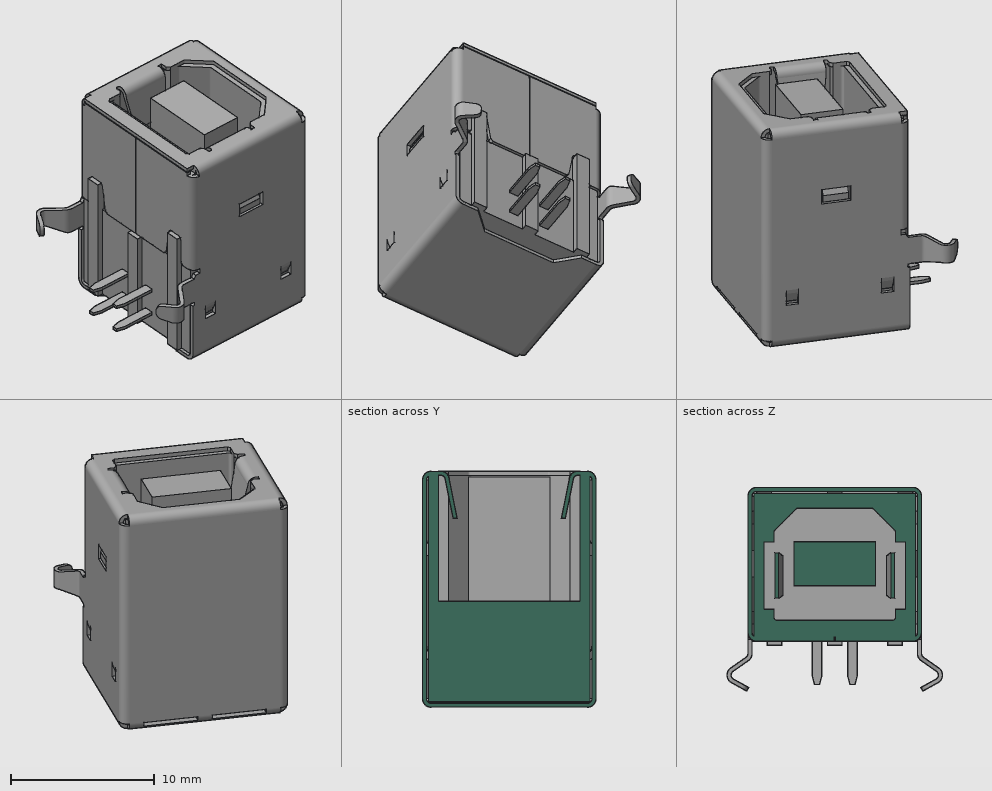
import cadquery as cq
import math

width = 12.09
depth = 10.73
height = 16.45
sheet = 0.3
bend = 0.61
half_width = width / 2
flat_half = half_width - bend

front_plate_bottom = 7.78
side_seam = 7.4
seam_gap = 0.07
front_opening_depth = 0.65

housing_half = 5.63
housing_front = 0.15
housing_back = 10.3
housing_bottom = 0.4
housing_step = front_plate_bottom - seam_gap
housing_top = height - sheet
cavity_floor = 7.4

opening_half = 4.23
opening_front = 1.1
opening_back = 9.64
opening_corner = 0.16
key_round = 0.2
opening_bevel = 1.45
cavity_bevel = opening_bevel + 0.13
ledge = 0.38

tab_front = 2.78
tab_back = 6.38
tab_slot = 0.31
slot_half = 4.92
slot_corner = 0.21
slot_round = 0.12
tab_root = 4.77
tab_tip = 3.62
tab_end = 13.16
tab_tip_inset = 0.41

tongue_half = 2.85
tongue_front = 3.87
tongue_back = 6.95
tongue_top = 16.04

rib_width = 1.02
rib_offset = 4.2
rib_front = -0.28
rib_top = 10.05

pin_offset = 1.23
pin_heights = (1.65, 3.64)
pin_width = 0.69
pin_tip_width = 0.36
pin_thickness = 0.23
pin_taper_start = -2.39
pin_end = -3.01

leg_middle = 6.14
leg_half = 1.0
leg_neck_half = 0.67
leg_toe_half = 0.51
leg_toe_round = 0.48
leg_bend = 0.31
leg_flare = math.radians(35)
leg_hook = math.radians(29)
knee_y = -1.09
elbow_x = 7.76
toe_x = 6.05
leg_knee = (half_width - sheet / 2, knee_y)
leg_elbow = (elbow_x, knee_y - (elbow_x - leg_knee[0]) * math.tan(leg_flare))
leg_toe = (toe_x, leg_elbow[1] - (elbow_x - toe_x) * math.tan(leg_hook))

relief = 0.28
relief_depth = 0.16
relief_round = 0.1
relief_bevel_start = 0.13

latch_y = (4.33, 6.48)
latch_z = (10.51, 11.6)
tooth_clearance = 0.15
tooth_lift = 0.07
tooth_face = 5.92
tooth_ridge = 11.07
barb_width = 0.9
barb_y = (1.65, 8.62)
barb_bottom = 3.19
barb_top = 4.3


def block(x0, x1, y0, y1, z0, z1):
    """Axis-aligned box given by its limits."""
    return cq.Workplane("XY").box(x1 - x0, y1 - y0, z1 - z0, centered=False).translate((x0, y0, z0))


def both_sides(solid):
    """The solid together with its mirror image across the YZ plane."""
    return solid.union(solid.mirror("YZ"))


def prism_along_x(points, x0, x1):
    """Extrude a (y, z) outline from x0 to x1."""
    return cq.Workplane("YZ").workplane(offset=x0).polyline(points).close().extrude(x1 - x0)


def prism_along_y(points, y0, y1):
    """Extrude an (x, z) outline from y0 to y1."""
    return cq.Workplane("XZ").workplane(offset=-y1).polyline(points).close().extrude(y1 - y0)


def rounded_block(inset, radius):
    """Shell envelope, moved inwards by inset, with every edge but the front X edges rounded."""
    body = block(-half_width + inset, half_width - inset, inset, depth - inset, inset, height - inset)
    return body.edges("|Y or |Z or (>Y and |X)").fillet(radius)


def side_sleeve():
    """Side and bottom sheets that run straight to the open lower front."""
    outer = block(-half_width, half_width, 0, front_opening_depth, 0, height).edges("|Y").fillet(bend)
    inner = block(-half_width + sheet, half_width - sheet, 0, front_opening_depth, sheet, height - sheet)
    sleeve = outer.cut(inner.edges("|Y").fillet(bend - sheet))
    return sleeve.intersect(block(-half_width, half_width, 0, front_opening_depth, 0, side_seam))


def rib_notch():
    """Notch in the front plate around one side rib, with a slanted inner edge."""
    outer_x, top_x, foot_x = 4.77, 3.55, 3.2
    top = rib_top + 0.08
    foot = front_plate_bottom
    lead_in = 0.2
    top_round = 0.26
    outline = [
        (outer_x + lead_in, foot), (outer_x, foot + lead_in), (outer_x, top),
        (top_x, top), (foot_x, foot + lead_in), (foot_x - lead_in, foot),
    ]
    notch = prism_along_y(outline, 0, sheet)
    return notch.edges("|Y and >Z").fillet(top_round)


def opening_outline():
    """Right half of the keyed opening with its two tab slots, front to back."""
    slot_front = tab_front - tab_slot
    slot_back = tab_back + tab_slot
    return [
        (opening_half - opening_corner, opening_front),
        (opening_half, opening_front + opening_corner),
        (opening_half, slot_front - slot_corner),
        (opening_half + slot_corner, slot_front),
        (slot_half, slot_front),
        (slot_half, tab_front),
        (tab_root, tab_front),
        (tab_root, tab_back),
        (slot_half, tab_back),
        (slot_half, slot_back),
        (opening_half + slot_corner, slot_back),
        (opening_half, slot_back + slot_corner),
        (opening_half, opening_back - opening_bevel),
        (opening_half - opening_bevel, opening_back),
    ]


def corner_reliefs():
    """Cubes that clear the corners where three bends would meet."""
    back = depth - bend
    top = height - bend
    reliefs = block(flat_half, half_width, back, depth, top, height)
    reliefs = reliefs.union(block(flat_half, half_width, back, depth, 0, bend))
    reliefs = reliefs.union(block(flat_half, half_width, 0, bend, top, height))
    return both_sides(reliefs)


def bottom_edge_notch():
    """Trapezoid removed from the front edge of the bottom plate."""
    wide, narrow = 4.25, 2.81
    setback = wide - narrow
    outline = [(-wide, 0), (wide, 0), (narrow, setback), (-narrow, setback)]
    return cq.Workplane("XY").polyline(outline).close().extrude(sheet)


def side_windows():
    """Latch and barb windows through the +X side sheet."""
    inner = half_width - sheet
    windows = block(inner, half_width, *latch_y, *latch_z)
    for y in barb_y:
        windows = windows.union(
            block(inner, half_width, y - barb_width / 2, y + barb_width / 2, barb_bottom, barb_top))
    return windows


def leg_reliefs():
    """Rounded notch below and bevelled notch above the +X leg."""
    inner = half_width - sheet
    low = leg_middle - leg_half
    high = leg_middle + leg_half
    below = block(inner, half_width, 0, relief_depth, low - relief, low)
    below = below.edges("|X and >Y").fillet(relief_round)
    above_outline = [(0, high), (relief_bevel_start, high), (relief, side_seam), (0, side_seam)]
    above = prism_along_x(above_outline, inner, half_width)
    return below.union(above)


def make_shell():
    shell = rounded_block(0, bend).cut(rounded_block(sheet, bend - sheet))
    shell = shell.cut(block(-half_width, half_width, 0, front_opening_depth, 0, front_plate_bottom))
    shell = shell.union(side_sleeve())
    shell = shell.cut(corner_reliefs())

    shell = shell.cut(block(-seam_gap / 2, seam_gap / 2, 0, sheet, front_plate_bottom, housing_top))
    shell = shell.cut(block(-flat_half, flat_half, 0, sheet, housing_top - seam_gap, housing_top))
    shell = shell.cut(both_sides(rib_notch()))

    right = opening_outline()
    left = [(-x, y) for x, y in reversed(right)]
    opening = cq.Workplane("XY").workplane(offset=housing_top).polyline(right + left).close().extrude(sheet)
    bevel_front = opening_back - opening_bevel - key_round
    key_corners = cq.selectors.BoxSelector((-width, bevel_front, 0), (width, depth, 2 * height))
    opening = opening.edges("|Z").edges(key_corners).fillet(key_round)
    for side in (-1, 1):
        for y in (tab_front - tab_slot, tab_front):
            slot_end = cq.selectors.NearestToPointSelector((side * slot_half, y, height))
            opening = opening.edges("|Z").edges(slot_end).fillet(slot_round)
    shell = shell.cut(opening)

    slot_reach = 4.41
    slot_bridge = rib_width / 2
    shell = shell.cut(bottom_edge_notch())
    shell = shell.cut(both_sides(block(slot_bridge, slot_reach, depth - bend, depth, sheet, bend)))
    return shell.cut(both_sides(side_windows().union(leg_reliefs())))


def key_outline(half, front, back, bevel):
    """Rectangle with its two back corners bevelled."""
    return [(-half, front), (half, front), (half, back - bevel),
            (half - bevel, back), (-half + bevel, back), (-half, back - bevel)]


def make_housing():
    housing = block(-housing_half, housing_half, housing_front, housing_back, housing_bottom, housing_top)
    housing = housing.cut(block(-housing_half, housing_half, 0, bend, height - bend, housing_top))
    housing = housing.cut(block(-housing_half, housing_half, 0, sheet, housing_step, housing_top))

    outline = key_outline(opening_half, opening_front + ledge, opening_back - ledge, cavity_bevel)
    cavity = cq.Workplane("XY").workplane(offset=cavity_floor).polyline(outline).close()
    cavity = cavity.extrude(housing_top - cavity_floor).edges("|Z").fillet(key_round)
    cavity = cavity.union(block(-slot_half, slot_half, tab_front - tab_slot - slot_corner,
                                tab_back + tab_slot + slot_corner, cavity_floor, housing_top))
    tongue = block(-tongue_half, tongue_half, tongue_front, tongue_back, cavity_floor, tongue_top)
    housing = housing.cut(cavity).union(tongue)

    for x, top in ((-rib_offset, rib_top), (0, housing_step), (rib_offset, rib_top)):
        rib = block(x - rib_width / 2, x + rib_width / 2, rib_front, sheet, housing_bottom, top)
        housing = housing.union(rib)
    return housing


def latch_tooth():
    """Ramped housing tooth that fills the +X latch window."""
    base = latch_z[0] + tooth_lift
    outline = [(housing_half, base), (tooth_face, base),
               (tooth_face, tooth_ridge), (housing_half, latch_z[1])]
    return prism_along_y(outline, latch_y[0] + tooth_clearance, latch_y[1] - tooth_clearance)


def sheet_barb(y):
    """Tongue of the +X side sheet bent inwards into the housing."""
    shoulder_z = barb_top - 0.28
    shoulder_x = half_width - 0.05
    tip_z = barb_bottom + 0.15
    tip_x = half_width - 0.33
    outline = [(half_width, barb_top), (shoulder_x, shoulder_z), (tip_x, tip_z),
               (tip_x - sheet, tip_z), (shoulder_x - sheet, shoulder_z), (half_width - sheet, barb_top)]
    return prism_along_y(outline, y - barb_width / 2, y + barb_width / 2)


def spring_tab():
    """Tab of the top plate bent down and inwards at the +X side of the opening."""
    knee = tab_root - bend
    knee_z = height - bend
    tab = (
        cq.Workplane("XZ").workplane(offset=-tab_back)
        .moveTo(tab_root, height)
        .radiusArc((knee, knee_z), -bend)
        .lineTo(tab_tip, tab_end)
        .lineTo(tab_tip + sheet, tab_end)
        .lineTo(knee + sheet, knee_z)
        .radiusArc((tab_root, height - sheet), bend - sheet)
        .close()
        .extrude(tab_back - tab_front)
    )
    side_outline = [
        (tab_front, height), (tab_back, height), (tab_back, knee_z),
        (tab_back - tab_tip_inset, tab_end), (tab_front + tab_tip_inset, tab_end), (tab_front, knee_z),
    ]
    return tab.intersect(prism_along_x(side_outline, tab_tip, tab_root))


def make_pin(x, z):
    half, tip_half = pin_width / 2, pin_tip_width / 2
    outline = [(x - half, housing_front), (x - half, pin_taper_start), (x - tip_half, pin_end),
               (x + tip_half, pin_end), (x + half, pin_taper_start), (x + half, housing_front)]
    pin = cq.Workplane("XY").workplane(offset=z - pin_thickness / 2).polyline(outline).close()
    return pin.extrude(pin_thickness)


def leg_outline():
    """Bent +X leg seen along Z, as corner points and (corner, radius) bends."""
    half_sheet = sheet / 2

    knee_shift = half_sheet * math.tan((math.pi / 2 - leg_flare) / 2)
    elbow_reach = half_sheet / math.sin((leg_flare + leg_hook) / 2)
    tilt = (leg_hook - leg_flare) / 2
    elbow_shift = (elbow_reach * math.cos(tilt), elbow_reach * math.sin(tilt))
    toe_shift = (half_sheet * math.sin(leg_hook), half_sheet * math.cos(leg_hook))

    outer_knee = (leg_knee[0] + half_sheet, leg_knee[1] + knee_shift)
    inner_knee = (leg_knee[0] - half_sheet, leg_knee[1] - knee_shift)
    outer_elbow = (leg_elbow[0] + elbow_shift[0], leg_elbow[1] + elbow_shift[1])
    inner_elbow = (leg_elbow[0] - elbow_shift[0], leg_elbow[1] - elbow_shift[1])
    outer_toe = (leg_toe[0] + toe_shift[0], leg_toe[1] - toe_shift[1])
    inner_toe = (leg_toe[0] - toe_shift[0], leg_toe[1] + toe_shift[1])
    outline = [(half_width, bend), outer_knee, outer_elbow, outer_toe,
               inner_toe, inner_elbow, inner_knee, (half_width - sheet, bend)]
    bends = [(outer_knee, leg_bend), (inner_knee, leg_bend + sheet),
             (inner_elbow, leg_bend), (outer_elbow, leg_bend + sheet)]
    return outline, bends


def leg_waste(start, end, sides, end_radius=0):
    """Material above and below one straight run of the leg, cut square to its sheet.

    Sides lists (distance from start, kept half height) along the run.
    """
    run = cq.Vector(end[0] - start[0], end[1] - start[1], 0)
    plane = cq.Plane((*start, leg_middle), run, run.cross(cq.Vector(0, 0, 1)))
    reach = sides[-1][0]
    lower = [(t, -half) for t, half in reversed(sides)]
    kept = cq.Workplane(plane).polyline(sides + lower).close().extrude(bend, both=True)
    if end_radius:
        for side in (-1, 1):
            tip = plane.toWorldCoords((reach, side * sides[-1][1], 0))
            kept = kept.edges(cq.selectors.NearestToPointSelector(tip.toTuple())).fillet(end_radius)
    whole = cq.Workplane(plane).center(reach / 2, 0).rect(reach, 4 * leg_half).extrude(bend, both=True)
    return whole.cut(kept)


def make_leg():
    outline, bends = leg_outline()
    low = leg_middle - leg_half
    leg = cq.Workplane("XY").workplane(offset=low).polyline(outline).close().extrude(2 * leg_half)
    for (x, y), radius in bends:
        corner = cq.selectors.NearestToPointSelector((x, y, leg_middle))
        leg = leg.edges("|Z").edges(corner).fillet(radius)

    flare_length = math.dist(leg_knee, leg_elbow)
    hook_length = math.dist(leg_elbow, leg_toe)
    elbow_setback = (leg_bend + sheet / 2) / math.tan((leg_flare + leg_hook) / 2)
    neck_start = flare_length - elbow_setback
    flare_sides = [(0, leg_half), (neck_start, leg_neck_half), (flare_length, leg_neck_half)]
    hook_sides = [(0, leg_neck_half), (elbow_setback, leg_neck_half), (hook_length, leg_toe_half)]
    leg = leg.cut(leg_waste(leg_knee, leg_elbow, flare_sides))
    return leg.cut(leg_waste(leg_elbow, leg_toe, hook_sides, leg_toe_round))


side_parts = latch_tooth().union(spring_tab()).union(make_leg())
for barb_centre in barb_y:
    side_parts = side_parts.union(sheet_barb(barb_centre))

result = make_shell().union(make_housing()).union(both_sides(side_parts))
for pin_x in (-pin_offset, pin_offset):
    for pin_z in pin_heights:
        result = result.union(make_pin(pin_x, pin_z))